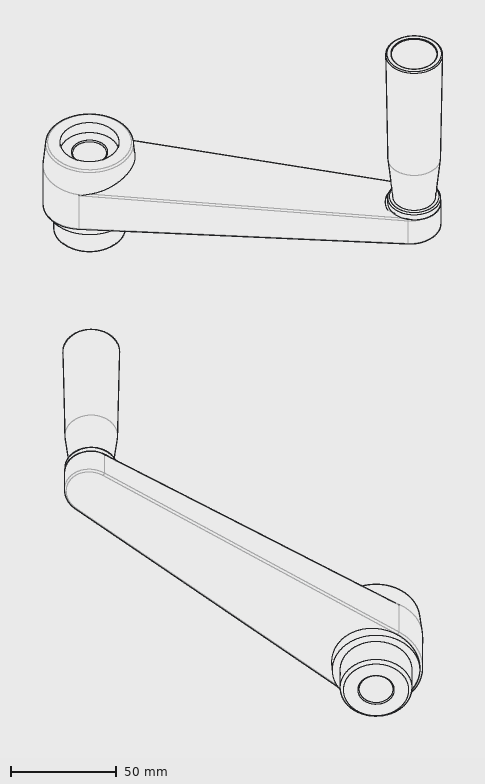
import cadquery as cq
import math

axis_distance = 160.0
total_height = 150.5

hub_radius = 22.0
hub_end_radius = 20.7
hub_bottom_z = 15.5
hub_top_z = 55.5
hub_parting_z = 41.3
hub_top_fillet = 1.0
sleeve_radius = 34.0 / 2
sleeve_chamfer = 1.5

bore_radius = 16.0 / 2
bore_chamfer = 0.5
counterbore_radius = 28.0 / 2
counterbore_depth = 6.3

tip_radius = 12.7
arm_bottom_hub_z = 18.8
arm_bottom_tip_z = 40.9
arm_edge_hub_z = hub_parting_z
arm_edge_tip_z = 56.7
arm_crest_hub_z = 44.8
arm_crest_tip_z = 58.7
arm_edge_fillet = 1.0
arm_overrun = 39.1
section_widening = 1.2

flank_sin = (hub_radius - tip_radius) / axis_distance
flank_cos = math.sqrt(1 - flank_sin**2)
flank_start_x = hub_radius * flank_sin

seat_z = 56.9
seat_radius = 13.7
collar_radius = 12.5
collar_top_z = 60.8
collar_chamfer = 0.8
handle_base_radius = 10.2
handle_knee_radius = 12.5
handle_knee_z = 84.9
handle_top_radius = 13.5
handle_top_chamfer = 0.5
cap_radius = 21.5 / 2
cap_rim_radius = 22.0 / 2
cap_recess = 0.4


def along_arm(hub_value, tip_value, x):
    """Value at x of a quantity that varies linearly from hub axis to handle axis."""
    return hub_value + (tip_value - hub_value) * x / axis_distance


def revolve_profile(points, x=0.0):
    """Solid of revolution of (radius, z) points about the vertical axis at x."""
    profile = cq.Workplane("XZ").polyline(points).close()
    return profile.revolve(360, (0, 0, 0), (0, 1, 0)).translate((x, 0, 0))


def make_arm_blank():
    """Tapered arm outline, cut by the sloping bottom plane."""
    hub_y = hub_radius * flank_cos
    tip_x = axis_distance + tip_radius * flank_sin
    tip_y = tip_radius * flank_cos
    blank = (
        cq.Workplane("XY")
        .moveTo(flank_start_x, -hub_y)
        .lineTo(tip_x, -tip_y)
        .threePointArc((axis_distance + tip_radius, 0), (tip_x, tip_y))
        .lineTo(flank_start_x, hub_y)
        .threePointArc((-hub_radius, 0), (flank_start_x, -hub_y))
        .close()
        .extrude(total_height)
    )
    start_x, end_x = -arm_overrun, axis_distance + arm_overrun
    below = (
        cq.Workplane("XZ")
        .moveTo(start_x, along_arm(arm_bottom_hub_z, arm_bottom_tip_z, start_x))
        .lineTo(end_x, along_arm(arm_bottom_hub_z, arm_bottom_tip_z, end_x))
        .lineTo(end_x, -arm_overrun)
        .lineTo(start_x, -arm_overrun)
        .close()
        .extrude(2 * hub_radius, both=True)
    )
    return blank.cut(below)


def crowned_section(x):
    """Arm cross-section at x, wider than the arm, with an arched top."""
    half_width = along_arm(hub_radius, tip_radius, x)
    crest_z = along_arm(arm_crest_hub_z, arm_crest_tip_z, x)
    edge_z = along_arm(arm_edge_hub_z, arm_edge_tip_z, x)
    outer_y = half_width * section_widening
    outer_z = crest_z - (crest_z - edge_z) * section_widening**2
    return (
        cq.Workplane("YZ", origin=(x, 0, 0))
        .moveTo(-outer_y, 0)
        .lineTo(-outer_y, outer_z)
        .threePointArc((0, crest_z), (outer_y, outer_z))
        .lineTo(outer_y, 0)
        .close()
        .wire()
        .val()
    )


def make_arm():
    """Arm with a crowned top between hub and handle and a flat seat under the handle."""
    end_x = axis_distance + arm_overrun
    sections = [crowned_section(flank_start_x), crowned_section(end_x)]
    crowned_space = cq.Workplane(cq.Solid.makeLoft(sections, True))
    hub_space = cq.Workplane("XY").box(
        arm_overrun, 4 * hub_radius, hub_parting_z, centered=(False, True, False)
    )
    hub_space = hub_space.translate((flank_start_x - arm_overrun, 0, 0))
    blank = make_arm_blank()
    crowned_part = blank.intersect(crowned_space)
    top_flank_edges = crowned_part.faces("%BSPLINE").edges(">Y or <Y")
    crowned_part = top_flank_edges.fillet(arm_edge_fillet)
    seat_space = cq.Workplane("XY", origin=(axis_distance, 0, seat_z)).circle(seat_radius)
    crowned_part = crowned_part.cut(seat_space.extrude(total_height - seat_z))
    arm = crowned_part.union(blank.intersect(hub_space))
    return arm.faces("<Z").edges().fillet(arm_edge_fillet)


def make_hub():
    """Hub that tapers up and down from its parting line, standing on a chamfered sleeve."""
    hub = revolve_profile([
        (0, hub_bottom_z),
        (hub_end_radius, hub_bottom_z),
        (hub_radius, hub_parting_z),
        (hub_end_radius, hub_top_z),
        (0, hub_top_z),
    ])
    hub = hub.faces(">Z").edges().fillet(hub_top_fillet)
    sleeve = cq.Workplane("XY").circle(sleeve_radius).extrude(hub_parting_z)
    return hub.union(sleeve.faces("<Z").chamfer(sleeve_chamfer))


def make_bore():
    """Through bore with chamfered mouths and a counterbore from the top of the hub."""
    floor_z = hub_top_z - counterbore_depth
    return revolve_profile([
        (0, 0),
        (bore_radius + bore_chamfer, 0),
        (bore_radius, bore_chamfer),
        (bore_radius, floor_z - bore_chamfer),
        (bore_radius + bore_chamfer, floor_z),
        (counterbore_radius, floor_z),
        (counterbore_radius, hub_top_z),
        (0, hub_top_z),
    ])


def make_handle():
    """Collar and flared grip with a slightly recessed end cap."""
    root_z = arm_bottom_tip_z + 2 * arm_edge_fillet
    core_radius = handle_base_radius / 2
    return revolve_profile([
        (0, root_z),
        (core_radius, root_z),
        (core_radius, seat_z),
        (collar_radius, seat_z),
        (collar_radius, collar_top_z - collar_chamfer),
        (collar_radius - collar_chamfer, collar_top_z),
        (handle_base_radius, collar_top_z),
        (handle_knee_radius, handle_knee_z),
        (handle_top_radius, total_height - handle_top_chamfer),
        (handle_top_radius - handle_top_chamfer, total_height),
        (cap_rim_radius, total_height),
        (cap_radius, total_height - cap_recess),
        (0, total_height - cap_recess),
    ], axis_distance)


result = make_arm().union(make_handle()).union(make_hub()).cut(make_bore())